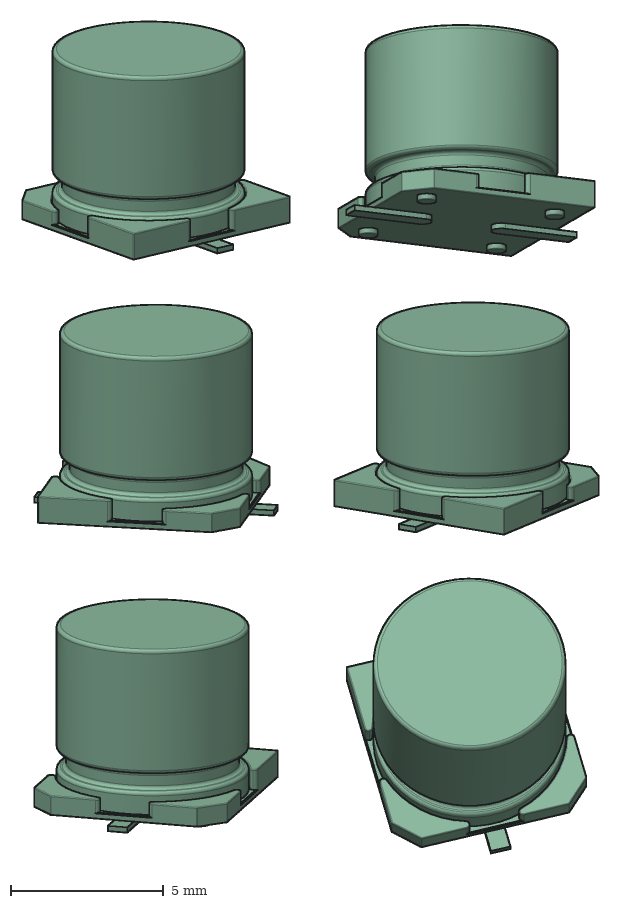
import cadquery as cq
import math

total_height = 6.0
lead_span = 8.0

base_side = 6.6
base_corner_cut = 0.8
base_bottom = 0.18
ledge_top = 0.4
low_pad_top = 0.86
tall_pad_top = 1.1
notch_width = 1.68
can_clearance = 0.03
nose_radius = 0.13
base_edge_radius = 0.03

can_diameter = 6.3
neck_diameter = 5.67
can_edge_radius = 0.13
lower_rim_top = 1.18
upper_rim_bottom = 1.78

lead_width = 0.66
lead_inner_end = 1.1
foot_diameter = 0.63
foot_offset = 2.3
foot_edge_radius = 0.02

match_tolerance = 0.001

base_half = base_side / 2
can_radius = can_diameter / 2
neck_radius = neck_diameter / 2
pocket_radius = can_radius + can_clearance


def make_base_block(height):
    """Square block from the base underside, cut at its two -X corners."""
    return (
        cq.Workplane("XY")
        .workplane(offset=base_bottom)
        .rect(base_side, base_side)
        .extrude(height)
        .edges("|Z and <X")
        .chamfer(base_corner_cut)
        .edges("|Z")
        .fillet(base_edge_radius)
    )


def make_pad(x_side, y_side, top):
    """Corner pad around the can, with rounded noses beside the notches."""
    pad_side = base_half - notch_width / 2
    pad_centre = (base_half + notch_width / 2) / 2
    corner = (
        cq.Workplane("XY")
        .workplane(offset=base_bottom)
        .center(x_side * pad_centre, y_side * pad_centre)
        .rect(pad_side, pad_side)
        .extrude(top - base_bottom)
    )
    pocket = cq.Workplane("XY").circle(pocket_radius).extrude(total_height)
    notch_face_x = x_side * notch_width / 2
    notch_face_y = y_side * notch_width / 2
    pad = make_base_block(top - base_bottom).intersect(corner).cut(pocket)

    def on_notch_face(edge):
        centre = edge.Center()
        offset = min(abs(centre.x - notch_face_x), abs(centre.y - notch_face_y))
        return offset < match_tolerance

    nose_edges = [edge for edge in pad.edges("|Z").vals() if on_notch_face(edge)]
    pad = pad.newObject(nose_edges).fillet(nose_radius)

    def away_from_can(edge):
        point = edge.positionAt(0.5)
        return math.hypot(point.x, point.y) > pocket_radius + match_tolerance

    rim_edges = [edge for edge in pad.faces(">Z").edges().vals() if away_from_can(edge)]
    return pad.newObject(rim_edges).fillet(base_edge_radius)


def make_base():
    """Ledge plate with low pads on the -X side and tall pads on the +X side."""
    base = make_base_block(ledge_top - base_bottom)
    for y_side in (-1, 1):
        base = base.union(make_pad(-1, y_side, low_pad_top))
        base = base.union(make_pad(1, y_side, tall_pad_top))
    ledge_edges = []
    for edge in base.edges("#Z").vals():
        centre = edge.Center()
        outermost = max(abs(centre.x), abs(centre.y))
        on_ledge = abs(centre.z - ledge_top) < match_tolerance
        on_outside = abs(outermost - base_half) < match_tolerance
        if on_ledge and on_outside:
            ledge_edges.append(edge)
    base = base.newObject(ledge_edges).chamfer(base_edge_radius)
    return base.faces("<Z").edges().fillet(base_edge_radius)


def make_can():
    """Revolved can, rounded at every rim and at both neck corners."""
    return (
        cq.Workplane("XZ")
        .moveTo(0, ledge_top)
        .lineTo(can_radius, ledge_top)
        .lineTo(can_radius, lower_rim_top)
        .lineTo(neck_radius, lower_rim_top)
        .lineTo(neck_radius, upper_rim_bottom)
        .lineTo(can_radius, upper_rim_bottom)
        .lineTo(can_radius, total_height)
        .lineTo(0, total_height)
        .close()
        .revolve(360, (0, 0), (0, 1))
        .edges("%CIRCLE and (not <Z)")
        .fillet(can_edge_radius)
    )


def make_lead(x_side):
    """Flat lead with a rounded inner end below the base."""
    end_radius = lead_width / 2
    round_centre = lead_inner_end + end_radius
    length = lead_span / 2 - round_centre
    strip = (
        cq.Workplane("XY")
        .center(x_side * (round_centre + length / 2), 0)
        .rect(length, lead_width)
        .extrude(base_bottom)
    )
    rounded_end = (
        cq.Workplane("XY").center(x_side * round_centre, 0).circle(end_radius).extrude(base_bottom)
    )
    return strip.union(rounded_end)


def make_feet():
    """Four round feet, one below each corner of the base."""
    return (
        cq.Workplane("XY")
        .rect(2 * foot_offset, 2 * foot_offset, forConstruction=True)
        .vertices()
        .circle(foot_diameter / 2)
        .extrude(base_bottom)
        .faces("<Z")
        .edges()
        .fillet(foot_edge_radius)
    )


result = make_base().union(make_can()).union(make_feet())
for side in (-1, 1):
    result = result.union(make_lead(side))